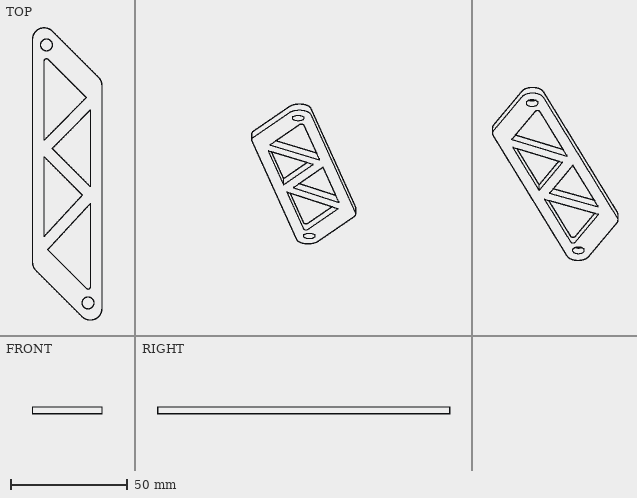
import cadquery as cq

length = 125.8
width = 30.0
thickness = 3.0
corner_radius = 5.0

rail_width = 5.0
end_band_width = 10.0
window_tip_radius = 1.0

strut_width = 5.0
upper_right_node = 31.1
upper_left_node = 11.0
lower_right_node = -9.0
lower_left_node = -30.6

hole_diameter = 5.0
hole_x = 8.9
hole_y = 55.5

root_two = 2 ** 0.5
half_width = width / 2
inner_half_width = half_width - rail_width

tip_center_x = half_width - corner_radius
tip_center_y = length / 2 - corner_radius
end_offset = tip_center_y - tip_center_x + corner_radius * root_two
window_offset = end_offset - end_band_width * root_two


def sloped_prism(half_x, offset):
    """Parallelogram between x = +/- half_x and the lines x + y = +/- offset."""
    corners = [
        (-half_x, offset + half_x),
        (half_x, offset - half_x),
        (half_x, -offset - half_x),
        (-half_x, -offset + half_x),
    ]
    return cq.Workplane("XY").polyline(corners).close().extrude(thickness)


def strut(left_y, right_y):
    """Straight bar joining the two rails, with its ends buried in them."""
    direction = cq.Vector(2 * inner_half_width, right_y - left_y, 0)
    bar_length = direction.Length + rail_width
    center = (0, (left_y + right_y) / 2, 0)
    plane = cq.Plane(origin=center, xDir=direction, normal=(0, 0, 1))
    return cq.Workplane(plane).rect(bar_length, strut_width).extrude(thickness)


plate = sloped_prism(half_width, end_offset).edges("|Z").fillet(corner_radius)

window = sloped_prism(inner_half_width, window_offset)
window = window.edges("|Z and (>Y or <Y)").fillet(window_tip_radius)

strut_nodes = [
    (upper_left_node, upper_right_node),
    (upper_left_node, lower_right_node),
    (lower_left_node, lower_right_node),
]
for left_y, right_y in strut_nodes:
    window = window.cut(strut(left_y, right_y))

holes = (
    cq.Workplane("XY")
    .pushPoints([(-hole_x, hole_y), (hole_x, -hole_y)])
    .circle(hole_diameter / 2)
    .extrude(thickness)
)

result = plate.cut(window).cut(holes)